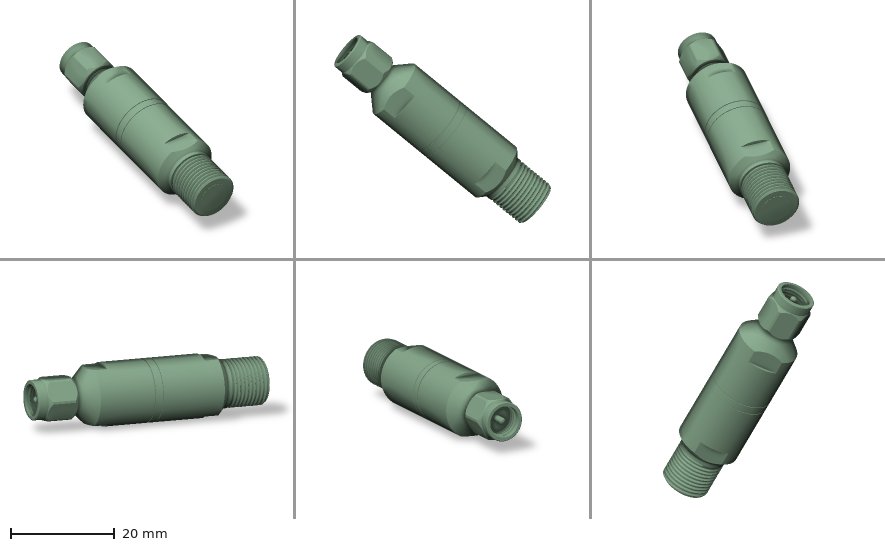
import cadquery as cq
import math

total_length = 48.3
collar_end = 2.0
nut_end = 8.3
cone_start = 8.7
body_start = 12.0
body_end = 38.0
rear_neck_start = 39.45
thread_start = 40.3
thread_end = 48.25

body_diameter = 12.5
body_radius = body_diameter / 2
front_neck_radius = 3.15
rear_neck_radius = 4.8
rear_disc_radius = 3.05

groove_depth = 0.15
grooves = [(23.35, 0.25), (25.05, 0.15)]

flat_height = 5.5
front_flat_end = 14.7
rear_flat_start = 35.25

collar_radius = 3.9
collar_chamfer = 0.15
nut_across_flats = 8.0
nut_corner_radius = 4.5
nut_chamfer_length = 0.75

socket_radius = 3.15
socket_depth = 3.5
insulator_radius = 2.15
insulator_face = 3.35
pin_radius = 0.65
pin_tip_radius = 0.25
pin_tip_length = 0.3
pin_start = 0.6

outer_thread_length = 7.9
outer_thread_crest_diameter = 9.5
outer_thread_crest_radius = outer_thread_crest_diameter / 2
outer_thread_root_radius = 4.35
outer_thread_first_crest = 40.5
outer_thread_turns = 10
thread_chamfer = 0.4
inner_thread_length = 2.4
inner_thread_crest_radius = 2.8
inner_thread_first_crest = 0.75
inner_thread_turns = 3.4

ridge_base_share = 0.8
ridge_crest_share = 0.2
ridge_embed = 0.1


def turned(points):
    """Revolve a closed (x, radius) outline about the X axis."""
    return cq.Workplane("XY").polyline(points).close().revolve(360, (0, 0, 0), (1, 0, 0))


def rod(start, end, radius):
    """Cylinder on the X axis between two stations."""
    return cq.Workplane("YZ", origin=(start, 0, 0)).circle(radius).extrude(end - start)


def thread_ridge(length, turns, root_radius, crest_radius, first_crest):
    """Helical ridge about the X axis, starting on the -Z side; its root is sunk into the wall."""
    pitch = length / turns
    outward = math.copysign(1, crest_radius - root_radius)
    buried_radius = root_radius - outward * ridge_embed
    half_base = pitch * ridge_base_share / 2
    half_crest = pitch * ridge_crest_share / 2
    path = cq.Workplane(cq.Wire.makeHelix(pitch, length, root_radius))
    ridge = (
        cq.Workplane("XZ")
        .polyline([
            (buried_radius, -half_base),
            (crest_radius, -half_crest),
            (crest_radius, half_crest),
            (buried_radius, half_base),
        ])
        .close()
        .sweep(path, isFrenet=True)
    )
    return ridge.rotate((0, 0, 0), (0, 1, 0), 90).translate((first_crest, 0, 0))


def make_body():
    body = turned([
        (collar_end, 0),
        (collar_end, front_neck_radius),
        (cone_start, front_neck_radius),
        (body_start, body_radius),
        (body_end, body_radius),
        (rear_neck_start, rear_neck_radius),
        (thread_start, rear_neck_radius),
        (thread_start, 0),
    ])
    for start, width in grooves:
        end = start + width
        ring = rod(start, end, body_diameter).cut(rod(start, end, body_radius - groove_depth))
        body = body.cut(ring)
    return cut_wrench_flats(body)


def cut_wrench_flats(body):
    depth = body_radius - flat_height
    for start, end in [(cone_start, front_flat_end), (rear_flat_start, rear_neck_start)]:
        for side in (1, -1):
            cutter = (
                cq.Workplane("XY")
                .box(end - start, 2 * body_radius, depth)
                .translate(((start + end) / 2, 0, side * (flat_height + depth / 2)))
            )
            body = body.cut(cutter)
    return body


def make_nut():
    hexagon = (
        cq.Workplane("YZ", origin=(collar_end, 0, 0))
        .polygon(6, nut_across_flats / math.cos(math.pi / 6))
        .extrude(nut_end - collar_end)
    )
    envelope = turned([
        (collar_end, 0),
        (collar_end, collar_radius),
        (collar_end + nut_chamfer_length, nut_corner_radius),
        (nut_end - nut_chamfer_length, nut_corner_radius),
        (nut_end, collar_radius),
        (nut_end, 0),
    ])
    collar = rod(0, collar_end, collar_radius).faces("<X").chamfer(collar_chamfer)
    return hexagon.intersect(envelope).union(collar)


def make_pin():
    return turned([
        (pin_start, 0),
        (pin_start, pin_tip_radius),
        (pin_start + pin_tip_length, pin_radius),
        (socket_depth, pin_radius),
        (socket_depth, 0),
    ])


def make_outer_thread():
    core = rod(thread_start, thread_end, outer_thread_root_radius)
    ridge = thread_ridge(
        outer_thread_length, outer_thread_turns,
        outer_thread_root_radius, outer_thread_crest_radius, outer_thread_first_crest,
    )
    envelope = turned([
        (rear_neck_start, 0),
        (rear_neck_start, rear_neck_radius),
        (thread_end - thread_chamfer, rear_neck_radius),
        (thread_end, outer_thread_root_radius),
        (thread_end, 0),
    ])
    return core.union(ridge.intersect(envelope))


connector = make_body().union(make_nut()).cut(rod(0, socket_depth, socket_radius))
connector = connector.union(rod(insulator_face, socket_depth, insulator_radius)).union(make_pin())
connector = connector.union(thread_ridge(
    inner_thread_length, inner_thread_turns,
    socket_radius, inner_thread_crest_radius, inner_thread_first_crest,
))
connector = connector.union(make_outer_thread())
result = connector.union(rod(thread_end, total_length, rear_disc_radius))